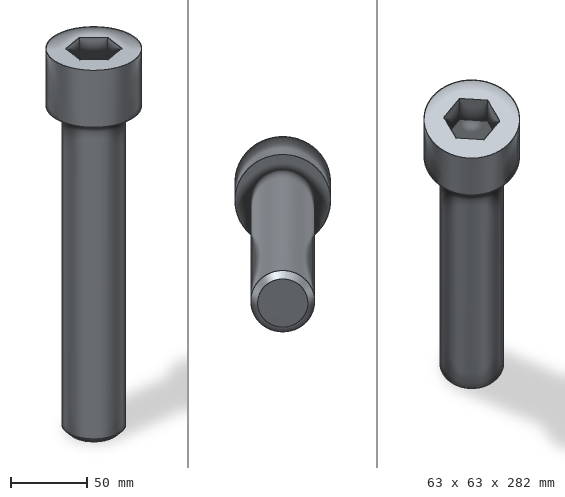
import cadquery as cq
import math

total_length = 282.0
shank_diameter = 42.0
head_diameter = 63.0
head_height = shank_diameter
tip_chamfer = 4.5
socket_across_flats = 32.0
socket_depth = 24.0

shank_length = total_length - head_height
socket_across_corners = socket_across_flats / math.cos(math.pi / 6)

shank = cq.Workplane("XY").circle(shank_diameter / 2).extrude(shank_length)
shank = shank.faces("<Z").chamfer(tip_chamfer)

head = cq.Workplane("XY", origin=(0, 0, shank_length)).circle(head_diameter / 2).extrude(head_height)

socket = (
    cq.Workplane("XY", origin=(0, 0, total_length))
    .polygon(6, socket_across_corners)
    .extrude(-socket_depth)
)

result = shank.union(head).cut(socket)